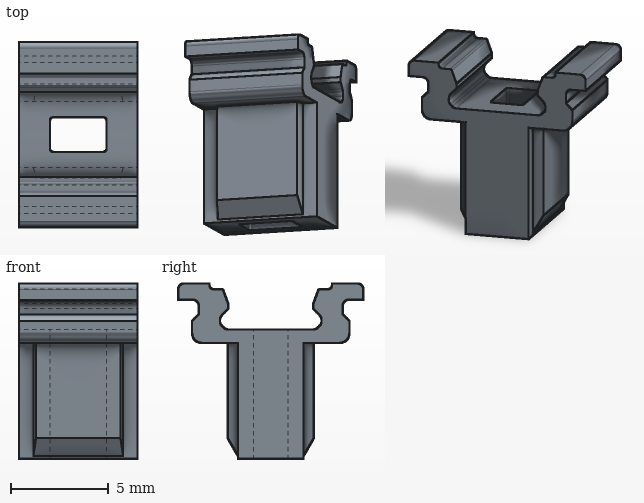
import cadquery as cq

length = 6.1
width = 9.5
height = 9.0

plate_bottom = 5.94
floor_z = 6.64
shoulder_z = 7.07
flange_bottom = 8.15
ledge_z = 8.7
lip_bottom = 7.695
lip_top = 7.96

flange_half = width / 2
plate_half = 4.04
neck_half = 3.7
step_half = 3.135
ledge_half = 2.45
groove_half = 2.59
lip_half = 2.18

flange_radius = 0.3
under_flange_radius = 0.3
plate_radius = 0.5
step_radius = 0.2
ledge_radius = 0.1
groove_radius = 0.3
groove_top_radius = 0.4
groove_chamfer = 0.28

post_half = 1.69
pad_half = 2.21
pad_base_length = 4.6
pad_face_length = 4.33
pad_bottom = 0.15
pad_face_bottom = 1.06

hole_length = 2.89
hole_width = 1.76
hole_radius = 0.15


def make_rail():
    """Symmetric clip section extruded along X, then rounded at its corners."""
    neck_bottom = shoulder_z + plate_half - neck_half
    groove_top = lip_bottom - (groove_half - lip_half)

    half_outline = [
        (plate_half, plate_bottom),
        (plate_half, shoulder_z),
        (neck_half, neck_bottom),
        (neck_half, flange_bottom),
        (flange_half, flange_bottom),
        (flange_half, height),
        (step_half, height),
        (step_half, ledge_z),
        (ledge_half, ledge_z),
        (lip_half, lip_top),
        (lip_half, lip_bottom),
        (groove_half, groove_top),
        (groove_half, floor_z + groove_chamfer),
        (groove_half - groove_chamfer, floor_z),
    ]
    mirrored = [(-y, z) for y, z in reversed(half_outline)]
    rail = cq.Workplane("YZ").polyline(half_outline + mirrored).close().extrude(length / 2, both=True)

    rounded_corners = [
        (plate_half, plate_bottom, plate_radius),
        (neck_half, flange_bottom, under_flange_radius),
        (flange_half, height, flange_radius),
        (step_half, ledge_z, step_radius),
        (ledge_half, ledge_z, ledge_radius),
        (groove_half, groove_top, groove_top_radius),
        (groove_half, floor_z + groove_chamfer, groove_radius),
        (groove_half - groove_chamfer, floor_z, groove_radius),
    ]
    for y, z, radius in rounded_corners:
        for side in (-1, 1):
            corner_edge = rail.edges(cq.selectors.NearestToPointSelector((0, side * y, z)))
            rail = corner_edge.fillet(radius)
    return rail


def make_post():
    """Plain block from the bottom up to the floor of the clip."""
    return cq.Workplane("XY").box(length, 2 * post_half, floor_z, centered=(True, True, False))


def make_pads():
    """Pads on both post faces, tapered at the ends and at the bottom."""
    plan = (
        cq.Workplane("XY")
        .polyline([
            (-pad_base_length / 2, 0),
            (-pad_base_length / 2, post_half),
            (-pad_face_length / 2, pad_half),
            (pad_face_length / 2, pad_half),
            (pad_base_length / 2, post_half),
            (pad_base_length / 2, 0),
        ])
        .close()
        .extrude(plate_bottom)
    )
    side_profile = (
        cq.Workplane("YZ")
        .polyline([
            (0, pad_bottom),
            (post_half, pad_bottom),
            (pad_half, pad_face_bottom),
            (pad_half, plate_bottom),
            (0, plate_bottom),
        ])
        .close()
        .extrude(length / 2, both=True)
    )
    pad = plan.intersect(side_profile)
    return pad.union(pad.mirror("XZ"))


def make_hole():
    return (
        cq.Workplane("XY")
        .rect(hole_length, hole_width)
        .extrude(height)
        .edges("|Z")
        .fillet(hole_radius)
    )


result = make_rail().union(make_post()).union(make_pads()).cut(make_hole())